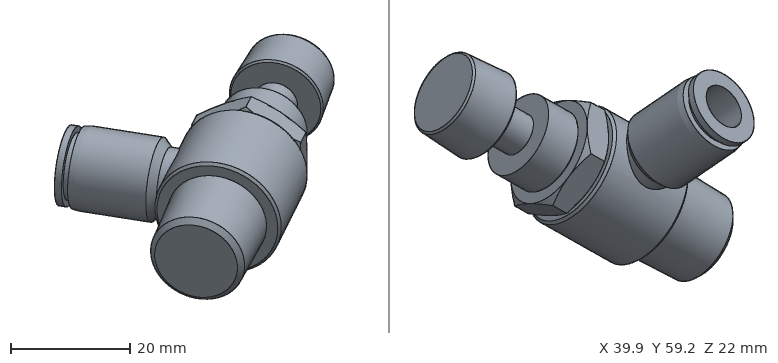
import cadquery as cq
import math

overall_length = 59.2
overall_width = 39.9

plug_end_diameter = 16.35
plug_root_diameter = 17.15
plug_length = 13.25
plug_chamfer = 0.95

body_diameter = 22.0
body_top = 30.35
body_edge_chamfer = 0.5

hex_corners = body_diameter
hex_flats = hex_corners * math.cos(math.pi / 6)
hex_top = 35.2
hex_chamfer_angle = math.radians(30)

neck_diameter = 14.5
neck_top = 35.5
collar_diameter = 15.15
collar_top = 42.2
stem_diameter = 7.6

knob_bottom = 49.7
knob_wide_diameter = 16.4
knob_narrow_diameter = 15.2
knob_edge_chamfer = 0.35

tube_center_y = (plug_length + body_top) / 2
tube_diameter = 14.5
tube_neck_diameter = 11.6
tube_end_diameter = 13.8
tube_bore_diameter = 8.0
tube_end = body_diameter / 2 - overall_width
end_ring_length = 1.25
end_groove_length = 1.1
tube_lead_length = 1.25
tube_lead_depth = 0.2
tube_barrel_end = 16.05
tube_cone_length = (tube_diameter - tube_neck_diameter) / 2


def turned(points):
    """Revolve a closed (radius, y) outline about the Y axis."""
    return cq.Workplane("XY").polyline(points).close().revolve(360, (0, 0, 0), (0, 1, 0))


def cylinder(diameter, start, end):
    """Solid cylinder on the Y axis."""
    radius = diameter / 2
    return turned([(0, start), (radius, start), (radius, end), (0, end)])


def make_plug():
    plug = turned([
        (0, 0),
        (plug_end_diameter / 2, 0),
        (plug_root_diameter / 2, plug_length),
        (0, plug_length),
    ])
    return plug.faces("<Y").chamfer(plug_chamfer)


def make_body():
    body = cylinder(body_diameter, plug_length, body_top)
    return body.faces("<Y or >Y").chamfer(body_edge_chamfer)


def make_hex_nut():
    corner_radius = hex_corners / 2
    flat_radius = hex_flats / 2
    chamfer_length = (corner_radius - flat_radius) * math.tan(hex_chamfer_angle)
    corners = []
    for index in range(6):
        angle = math.radians(90 + 60 * index)
        corners.append((corner_radius * math.cos(angle), corner_radius * math.sin(angle)))
    prism = (
        cq.Workplane("XZ", origin=(0, body_top, 0))
        .polyline(corners)
        .close()
        .extrude(body_top - hex_top)
    )
    corner_trim = turned([
        (0, body_top),
        (flat_radius, body_top),
        (corner_radius, body_top + chamfer_length),
        (corner_radius, hex_top - chamfer_length),
        (flat_radius, hex_top),
        (0, hex_top),
    ])
    return prism.intersect(corner_trim)


def make_knob():
    knob = turned([
        (0, knob_bottom),
        (knob_wide_diameter / 2, knob_bottom),
        (knob_narrow_diameter / 2, overall_length),
        (0, overall_length),
    ])
    return knob.faces("<Y or >Y").chamfer(knob_edge_chamfer)


def make_side_tube():
    """Stepped tube running from its open end to the main axis."""
    ring_end = tube_end + end_ring_length
    groove_end = ring_end + end_groove_length
    lead_end = groove_end + tube_lead_length
    barrel_end = tube_end + tube_barrel_end
    tube_radius = tube_diameter / 2
    end_radius = tube_end_diameter / 2
    neck_radius = tube_neck_diameter / 2
    bore_radius = tube_bore_diameter / 2
    outline = [
        (tube_end, bore_radius),
        (tube_end, end_radius),
        (ring_end, end_radius),
        (ring_end, neck_radius),
        (groove_end, neck_radius),
        (groove_end, tube_radius - tube_lead_depth),
        (lead_end, tube_radius),
        (barrel_end, tube_radius),
        (barrel_end + tube_cone_length, neck_radius),
        (0, neck_radius),
        (0, bore_radius),
    ]
    tube = cq.Workplane("XY").polyline(outline).close().revolve(360, (0, 0, 0), (1, 0, 0))
    return tube.translate((0, tube_center_y, 0))


result = (
    make_body()
    .union(make_side_tube())
    .union(make_plug())
    .union(make_hex_nut())
    .union(cylinder(neck_diameter, hex_top, neck_top))
    .union(cylinder(collar_diameter, neck_top, collar_top))
    .union(cylinder(stem_diameter, collar_top, knob_bottom))
    .union(make_knob())
)